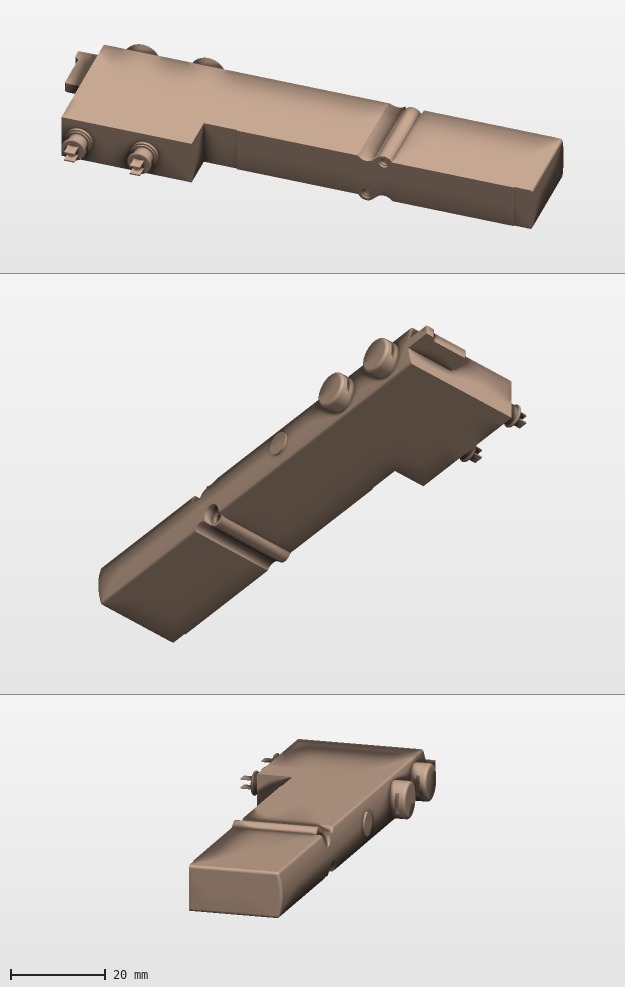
import cadquery as cq
import math


total_length = 108.5
body_left = 6.1
body_height = 10.1
connector_right = 35.2
connector_depth = 28.4
arm_depth = 20.6
pad_left = 42.6
pad_right = 104.4
pad_depth = 20.8
edge_radius = 0.7
crown_rise = 0.9

ridge_axis_x = 73.5
ridge_offset = 2.0
ridge_diameter = 3.9
ridge_z = 4.2
groove_diameter = 4.5
groove_z = 6.3
screw_hole_diameter = 1.8
screw_recess_diameter = 2.3
screw_recess_depth = 0.5
screw_hole_z = 4.5
counterbore_diameter = 4.5
counterbore_depth = 2.3

pair_count = 2
pair_pitch = 14.6
plug_x = 10.1
button_x = 13.3

plug_sections = [(6.1, 0.7), (5.3, 0.3), (4.5, 2.3)]
collar_diameter = 5.3
collar_thickness = 0.7
collar_chamfer = 0.2
blade_width = 2.3
blade_thickness = 0.3
blade_spacing = 2.0
blade_tip = 34.9

button_diameter = 8.1
button_height = 3.3
button_rounding = 0.7
button_slot_bottom = 1.0
button_slot_width = 0.9
button_slot_length = 4.6

dot_x = 48.6
dot_diameter = 5.3
dot_height = 0.3

tab_thickness = 2.3
tab_depth = 11.7
tab_tip_depth = 2.0
tab_neck_depth = 2.9
tab_neck_x = 1.0
tab_corner_chamfer = 0.3


def back_cylinder(x, z, diameter, near, far):
    """Cylinder along Y between two distances in front of the back plane."""
    plane = cq.Plane(origin=(x, -near, z), xDir=(1, 0, 0), normal=(0, -1, 0))
    return cq.Workplane(plane).circle(diameter / 2).extrude(far - near)


def make_body():
    half = body_height / 2
    outline = (
        cq.Workplane("XY")
        .moveTo(body_left, 0)
        .lineTo(total_length, 0)
        .lineTo(total_length, -arm_depth)
        .lineTo(pad_right, -arm_depth)
        .lineTo(pad_right, -pad_depth)
        .lineTo(pad_left, -pad_depth)
        .lineTo(pad_left, -arm_depth)
        .lineTo(connector_right, -arm_depth)
        .lineTo(connector_right, -connector_depth)
        .lineTo(body_left, -connector_depth)
        .close()
        .extrude(half, both=True)
    )
    section = (
        cq.Workplane("YZ")
        .moveTo(-connector_depth, -half)
        .lineTo(-crown_rise, -half)
        .threePointArc((0, 0), (-crown_rise, half))
        .lineTo(-connector_depth, half)
        .close()
        .extrude(total_length)
    )
    body = outline.intersect(section)
    body = body.faces(">X").edges("|Y").fillet(edge_radius)
    long_edges = cq.selectors.BoxSelector(
        (0, -crown_rise - edge_radius, -body_height),
        (total_length, -crown_rise + edge_radius, body_height),
    )
    return body.edges("|X").edges(long_edges).fillet(edge_radius)


def make_ridge():
    """Upper ridge: round crest whose left flank runs tangent into the groove."""
    ridge_radius = ridge_diameter / 2
    groove_radius = groove_diameter / 2
    ridge_x = ridge_axis_x + ridge_offset
    groove_x = ridge_axis_x - ridge_offset
    run = ridge_x - groove_x
    rise = ridge_z - groove_z
    distance = math.hypot(run, rise)
    normal = math.atan2(-rise, -run) - math.acos((ridge_radius + groove_radius) / distance)
    tangent_x = math.cos(normal)
    tangent_z = math.sin(normal)
    ridge_contact = (ridge_x + ridge_radius * tangent_x, ridge_z + ridge_radius * tangent_z)
    groove_contact = (groove_x - groove_radius * tangent_x, groove_z - groove_radius * tangent_z)
    flank = (
        cq.Workplane("XZ")
        .polyline([groove_contact, ridge_contact, (ridge_x, ridge_z), (ridge_x, 0), (groove_contact[0], 0)])
        .close()
        .extrude(pad_depth - counterbore_depth)
        .translate((0, -counterbore_depth, 0))
    )
    crest = back_cylinder(ridge_x, ridge_z, ridge_diameter, counterbore_depth, pad_depth)
    return flank.union(crest)


def half_turn(shape):
    return shape.rotate((ridge_axis_x, 0, 0), (ridge_axis_x, 1, 0), 180)


def add_ridge_pattern(body):
    ridge_x = ridge_axis_x + ridge_offset
    groove = back_cylinder(ridge_axis_x - ridge_offset, groove_z, groove_diameter, 0, pad_depth)
    hole = back_cylinder(ridge_x, screw_hole_z, screw_hole_diameter, 0, pad_depth)
    recess = back_cylinder(
        ridge_x, screw_hole_z, screw_recess_diameter, pad_depth - screw_recess_depth, pad_depth
    )
    counterbore = back_cylinder(ridge_x, ridge_z, counterbore_diameter, 0, counterbore_depth)
    ridge = make_ridge()
    body = body.cut(groove).cut(half_turn(groove))
    body = body.union(ridge).union(half_turn(ridge))
    cutter = hole.union(recess).union(counterbore)
    return body.cut(cutter).cut(half_turn(cutter))


def make_plug(x):
    plug = cq.Workplane("XY")
    start = connector_depth
    for diameter, length in plug_sections:
        plug = plug.union(back_cylinder(x, 0, diameter, start, start + length))
        start += length
    collar = back_cylinder(x, 0, collar_diameter, start, start + collar_thickness)
    plug = plug.union(collar.edges().chamfer(collar_chamfer))
    for side in (-1, 1):
        blade = cq.Workplane("XY").box(blade_width, blade_tip - connector_depth, blade_thickness)
        blade_y = -(blade_tip + connector_depth) / 2
        plug = plug.union(blade.translate((x, blade_y, side * blade_spacing / 2)))
    return plug


def make_button(x):
    button = back_cylinder(x, 0, button_diameter, -button_height, crown_rise)
    button = button.faces(">Y").edges().fillet(button_rounding)
    flat_distance = math.sqrt(button_diameter**2 - button_slot_length**2) / 2
    slot_offset = flat_distance + button_diameter / 2
    slot_y = button_slot_bottom + button_slot_width / 2
    for side in (-1, 1):
        slot = cq.Workplane("XY").box(button_diameter, button_slot_width, button_diameter)
        button = button.cut(slot.translate((x + side * slot_offset, slot_y, 0)))
    return button


def make_tab():
    return (
        cq.Workplane("XY")
        .moveTo(body_left, 0)
        .lineTo(0, 0)
        .lineTo(0, -tab_tip_depth)
        .lineTo(tab_neck_x, -tab_neck_depth)
        .lineTo(tab_neck_x, -tab_depth + tab_corner_chamfer)
        .lineTo(tab_neck_x + tab_corner_chamfer, -tab_depth)
        .lineTo(body_left, -tab_depth)
        .close()
        .extrude(tab_thickness / 2, both=True)
    )


result = add_ridge_pattern(make_body())
for i in range(pair_count):
    result = result.union(make_plug(plug_x + i * pair_pitch))
    result = result.union(make_button(button_x + i * pair_pitch))
result = result.union(back_cylinder(dot_x, 0, dot_diameter, -dot_height, crown_rise))
result = result.union(make_tab())